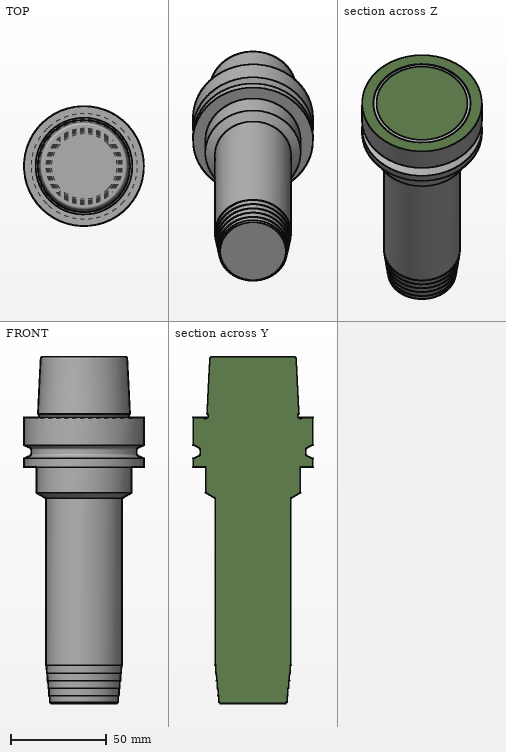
import cadquery as cq
import math


SHANK_LENGTH = 31.9
GAUGE_DIAMETER = 48.0
GAUGE_HEIGHT = 6.3
SHANK_TAPER = 1 / 10
SHANK_EDGE_ROUND = 1.2

UNDERCUT_DIAMETER = 47.4
UNDERCUT_TOP = 2.0
UNDERCUT_SLOPE = math.radians(45)
UNDERCUT_ROUND = 1.0
RECESS_DIAMETER = 50.8
RECESS_DEPTH = 0.4

FLANGE_DIAMETER = 63.0
FLANGE_THICKNESS = 26.0
GROOVE_CENTRE_Z = -18.0
GROOVE_WIDTH = 7.0
GROOVE_FLOOR_DIAMETER = 55.5
GROOVE_WALL_ANGLE = math.radians(25)
GROOVE_FLOOR_ROUND = 1.0

COLLAR_DIAMETER = 50.0
COLLAR_BOTTOM_Z = -39.5
COLLAR_CONE_ANGLE = math.radians(30)
BODY_DIAMETER = 40.0
BODY_BOTTOM_Z = -150.0

NOSE_LENGTH = 20.0
NOSE_BANDS = 5
NOSE_BAND_STEP = 0.25
NOSE_BAND_SLOPE = math.radians(2.3)
NOSE_CHAMFER = 0.8

PICK_TOLERANCE = 0.01


def shank_radius(z):
    """Radius of the tapered shank at height z."""
    return (GAUGE_DIAMETER - SHANK_TAPER * (z - GAUGE_HEIGHT)) / 2


def groove_half_floor():
    """Half the axial width of the flat groove floor, before rounding."""
    wall_depth = (FLANGE_DIAMETER - GROOVE_FLOOR_DIAMETER) / 2
    return GROOVE_WIDTH / 2 - wall_depth * math.tan(GROOVE_WALL_ANGLE)


def nose_points():
    """Chamfered bottom edge, then the lower and upper edge of each nose band."""
    band_height = NOSE_LENGTH / NOSE_BANDS
    band_shrink = band_height * math.tan(NOSE_BAND_SLOPE)
    end_radius = BODY_DIAMETER / 2 - NOSE_BANDS * (NOSE_BAND_STEP + band_shrink)
    chamfer_top_radius = end_radius + NOSE_CHAMFER * math.tan(NOSE_BAND_SLOPE)
    points = [
        (chamfer_top_radius - NOSE_CHAMFER, BODY_BOTTOM_Z),
        (chamfer_top_radius, BODY_BOTTOM_Z + NOSE_CHAMFER),
    ]
    for band in range(NOSE_BANDS):
        lower_radius = end_radius + band * (NOSE_BAND_STEP + band_shrink)
        lower_z = BODY_BOTTOM_Z + band * band_height
        if band > 0:
            points.append((lower_radius, lower_z))
        points.append((lower_radius + band_shrink, lower_z + band_height))
    return points


def body_points():
    """Plain body, the cone that steps out from it, and the collar."""
    body_radius = BODY_DIAMETER / 2
    collar_radius = COLLAR_DIAMETER / 2
    cone_height = (collar_radius - body_radius) * math.tan(COLLAR_CONE_ANGLE)
    return [
        (body_radius, BODY_BOTTOM_Z + NOSE_LENGTH),
        (body_radius, COLLAR_BOTTOM_Z - cone_height),
        (collar_radius, COLLAR_BOTTOM_Z),
        (collar_radius, -FLANGE_THICKNESS),
    ]


def flange_points():
    """Flange rim with the gripper groove, then the recess in its upper face."""
    flange_radius = FLANGE_DIAMETER / 2
    floor_radius = GROOVE_FLOOR_DIAMETER / 2
    recess_radius = RECESS_DIAMETER / 2
    half_mouth = GROOVE_WIDTH / 2
    half_floor = groove_half_floor()
    return [
        (flange_radius, -FLANGE_THICKNESS),
        (flange_radius, GROOVE_CENTRE_Z - half_mouth),
        (floor_radius, GROOVE_CENTRE_Z - half_floor),
        (floor_radius, GROOVE_CENTRE_Z + half_floor),
        (flange_radius, GROOVE_CENTRE_Z + half_mouth),
        (flange_radius, 0),
        (recess_radius, 0),
        (recess_radius, -RECESS_DEPTH),
    ]


def shank_points():
    """Undercut foot of the shank, then its taper."""
    undercut_radius = UNDERCUT_DIAMETER / 2
    taper_foot_radius = shank_radius(UNDERCUT_TOP)
    undercut_rise = (taper_foot_radius - undercut_radius) * math.tan(UNDERCUT_SLOPE)
    return [
        (undercut_radius, -RECESS_DEPTH),
        (undercut_radius, UNDERCUT_TOP - undercut_rise),
        (taper_foot_radius, UNDERCUT_TOP),
        (shank_radius(SHANK_LENGTH), SHANK_LENGTH),
    ]


def turn_blank():
    """Revolve the whole outline, keeping every outline segment as its own face."""
    outline = [(0, BODY_BOTTOM_Z)]
    outline += nose_points()
    outline += body_points()
    outline += flange_points()
    outline += shank_points()
    outline += [(0, SHANK_LENGTH)]
    sketch = cq.Workplane("XZ").polyline(outline).close()
    return sketch.revolve(360, (0, 0, 0), (0, 1, 0), clean=False)


def circle_at(solid, radius, z):
    """Circular edges of the solid with the given radius at height z."""
    return [
        edge for edge in solid.Edges()
        if edge.geomType() == "CIRCLE"
        and abs(edge.radius() - radius) < PICK_TOLERANCE
        and abs(edge.Center().z - z) < PICK_TOLERANCE
    ]


def round_edges(solid):
    """Round the shank's upper edge, the undercut foot and the groove floor."""
    shank_edge = circle_at(solid, shank_radius(SHANK_LENGTH), SHANK_LENGTH)
    solid = solid.fillet(SHANK_EDGE_ROUND, shank_edge)
    undercut_foot = circle_at(solid, UNDERCUT_DIAMETER / 2, -RECESS_DEPTH)
    solid = solid.fillet(UNDERCUT_ROUND, undercut_foot)
    for side in (-1, 1):
        corner_z = GROOVE_CENTRE_Z + side * groove_half_floor()
        floor_corner = circle_at(solid, GROOVE_FLOOR_DIAMETER / 2, corner_z)
        solid = solid.fillet(GROOVE_FLOOR_ROUND, floor_corner)
    return solid


result = cq.Workplane(obj=round_edges(turn_blank().val()))